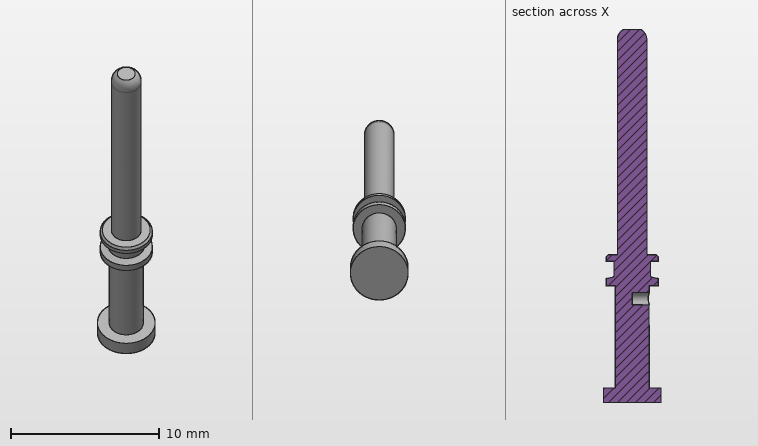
import cadquery as cq

total_length = 25.2
head_radius = 1.953
head_top = 1.0

shank_radius = 1.15

collar_radius = 1.76
lower_collar_bottom = 7.9
lower_collar_edge = 8.4
lower_collar_cone_rise = 0.13
neck_radius = 1.23
upper_collar_bottom = 9.55
upper_collar_top = 10.0
collar_chamfer = 0.15

pin_radius = 1.0
tip_height = 0.78
tip_flat_radius = 0.6
tip_mid_radius = 0.9
tip_mid_drop = 0.3

side_hole_diameter = 0.8
side_hole_center = 7.03


def turned_body():
    """Revolve the half profile of the pin around Z."""
    tip_base = total_length - tip_height
    profile = (
        cq.Workplane("XZ")
        .moveTo(0, 0)
        .lineTo(head_radius, 0)
        .lineTo(head_radius, head_top)
        .lineTo(shank_radius, head_top)
        .lineTo(shank_radius, lower_collar_bottom)
        .lineTo(collar_radius, lower_collar_bottom)
        .lineTo(collar_radius, lower_collar_edge)
        .lineTo(neck_radius, lower_collar_edge + lower_collar_cone_rise)
        .lineTo(neck_radius, upper_collar_bottom)
        .lineTo(collar_radius, upper_collar_bottom)
        .lineTo(collar_radius, upper_collar_top - collar_chamfer)
        .lineTo(collar_radius - collar_chamfer, upper_collar_top)
        .lineTo(pin_radius, upper_collar_top)
        .lineTo(pin_radius, tip_base)
        .threePointArc(
            (tip_mid_radius, total_length - tip_mid_drop),
            (tip_flat_radius, total_length),
        )
        .lineTo(0, total_length)
        .close()
    )
    return profile.revolve(360, (0, 0, 0), (0, 1, 0))


def side_hole():
    """Radial cutter running from the pin axis out through the +Y side."""
    return (
        cq.Workplane("XZ", origin=(0, 0, side_hole_center))
        .circle(side_hole_diameter / 2)
        .extrude(-head_radius)
    )


result = turned_body().cut(side_hole())